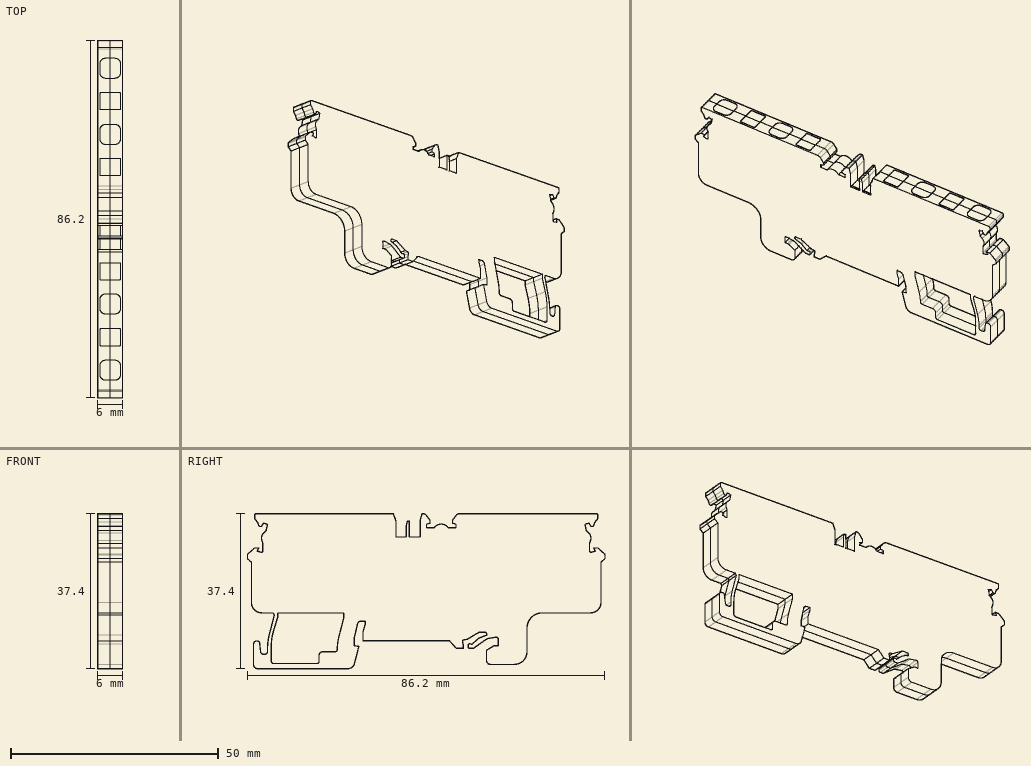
import cadquery as cq
import math

LENGTH = 86.2
HEIGHT = 37.4
THICKNESS = 6.0
HALF_THICKNESS = THICKNESS / 2

SHOULDER_Y = LENGTH / 2
END_WALL_Y = 42.15
PLATE_BOTTOM = 13.45
PLATE_CORNER_RADIUS = 2.6
RAIL_SEAT = 6.7

FOOT_OUTER_Y = 24.3
FOOT_INNER_Y = 14.5
FOOT_BOTTOM = 1.0
FOOT_FILLET = 3.6
RAIL_LIP = 4.9

LATCH_OUTER_Y = -41.6
LATCH_ARM_Y = -37.3
LATCH_FLOOR = 1.3
LATCH_STEP = 4.1

MARKER_FLOOR = 34.05
MARKER_CENTER_Y = 3.6
MARKER_HALF_WIDTH = 3.5
MARKER_LIP_HALF_WIDTH = 2.7
MARKER_MOUTH_HALF_WIDTH = 3.9
MARKER_BUMP_HALF_WIDTH = 1.6
MARKER_BUMP_RADIUS = 2.0
MARKER_BUMP_APEX = MARKER_FLOOR + 2.4
SLOT_FLOOR = 31.8
SLOT_START_Y = -1.5
SLOT_END_Y = -7.2
SLOT_MOUTH_Y = -7.9
SLOT_RIB_START_Y = -4.05
SLOT_RIB_END_Y = -4.8
SLOT_RIB_TOP = 35.6

OPENING_WIDTH = 5.0
OPENING_DEPTH = 0.1
WIRE_OPENING_LENGTH = 4.8
WIRE_OPENING_RADIUS = 1.4
WIRE_OPENING_YS = (20.4, 36.4)
RELEASE_OPENING_LENGTH = 4.1
RELEASE_OPENING_RADIUS = 0.3
RELEASE_OPENING_YS = (12.6, 28.45)


def rounded_outline(corners):
    """Closed YZ outline through (y, z, radius) corners; radius 0 leaves a corner sharp."""
    stretches = []
    for i, (y, z, radius) in enumerate(corners):
        corner = cq.Vector(y, z)
        if radius == 0:
            stretches.append([corner])
            continue
        before = cq.Vector(*corners[i - 1][:2])
        after = cq.Vector(*corners[(i + 1) % len(corners)][:2])
        to_before = (before - corner).normalized()
        to_after = (after - corner).normalized()
        half_angle = to_before.getAngle(to_after) / 2
        setback = radius / math.tan(half_angle)
        bisector = (to_before + to_after).normalized()
        middle = corner + bisector * (radius / math.sin(half_angle) - radius)
        stretches.append([corner + to_before * setback, middle, corner + to_after * setback])

    outline = cq.Workplane("YZ").moveTo(stretches[0][-1].x, stretches[0][-1].y)
    for stretch in stretches[1:] + stretches[:1]:
        outline = outline.lineTo(stretch[0].x, stretch[0].y)
        if len(stretch) == 3:
            outline = outline.threePointArc(stretch[1].toTuple()[:2], stretch[2].toTuple()[:2])
    return outline.close()


def end_profile():
    """Corners of the +Y end, from the top edge down to the plate's bottom corner."""
    return [
        (41.4, HEIGHT, 0.35),
        (41.4, 36.2, 0),
        (40.7, 35.3, 0),
        (40.25, 34.2, 0.4),
        (39.65, 34.3, 0),
        (39.2, 35.1, 0),
        (38.3, 34.8, 0),
        (38.6, 33.3, 0),
        (40.0, 32.0, 1.7),
        (39.4, 30.25, 0),
        (39.4, 28.0, 0.3),
        (40.7, 28.4, 0),
        (40.3, 29.1, 0),
        (41.4, 29.1, 0),
        (SHOULDER_Y, 27.6, 0.4),
        (SHOULDER_Y, 26.55, 0),
        (END_WALL_Y, 25.7, 0),
        (END_WALL_Y, PLATE_BOTTOM, PLATE_CORNER_RADIUS),
    ]


def fixed_foot():
    """Corners of the rigid foot and the thin spring finger beside it."""
    return [
        (FOOT_OUTER_Y, PLATE_BOTTOM, FOOT_FILLET),
        (FOOT_OUTER_Y, FOOT_BOTTOM, 3.1),
        (FOOT_INNER_Y, FOOT_BOTTOM, 1.0),
        (FOOT_INNER_Y, 4.5, 0),
        (16.4, 5.6, 0.7),
        (17.3, 5.6, 0),
        (17.3, 7.7, 0.4),
        (14.65, 7.2, 1.7),
        (11.4, RAIL_LIP, 0),
        (10.1, RAIL_LIP, 0.4),
        (10.1, 6.1, 0.35),
        (11.0, 5.95, 0),
        (12.7, 7.4, 0.9),
        (14.65, 8.2, 0.2),
        (14.4, 8.8, 0.2),
        (12.8, 8.8, 0),
        (9.8, 7.1, 0),
        (8.7, 6.9, 0.35),
        (9.0, 5.7, 0),
        (9.0, RAIL_LIP, 0),
        (7.2, RAIL_LIP, 0),
        (5.6, RAIL_SEAT, 0),
    ]


def sprung_foot():
    """Outer corners of the sprung foot, from the rail seat round to the plate bottom."""
    return [
        (-15.3, RAIL_SEAT, 0),
        (-15.3, 9.0, 0),
        (-14.7, 10.7, 0),
        (-14.7, 11.5, 0),
        (-16.4, 11.5, 0.9),
        (-17.3, 7.4, 0),
        (-17.3, 5.6, 0),
        (-16.2, 5.4, 0),
        (-17.6, 0, 1.7),
        (LATCH_OUTER_Y, 0, 1.0),
        (LATCH_OUTER_Y, RAIL_SEAT, 0.8),
        (-40.2, RAIL_SEAT, 0.6),
        (-39.8, 3.5, 0.6),
        (-38.3, 3.5, 0.6),
        (-38.3, 6.55, 12.9),
        (-36.6, 12.9, 0),
        (-36.9, PLATE_BOTTOM, 0),
    ]


def top_recesses():
    """Corners along the top, from the -Y side: bridge slot with its rib, then marker groove."""
    slot = [
        (SLOT_MOUTH_Y, HEIGHT, 0),
        (SLOT_END_Y, SLOT_RIB_TOP, 0),
        (SLOT_END_Y, SLOT_FLOOR, 0),
        (SLOT_RIB_END_Y, SLOT_FLOOR, 0),
        (SLOT_RIB_END_Y, 34.6, 0),
        (-4.6, SLOT_RIB_TOP, 0),
        (SLOT_RIB_START_Y, SLOT_RIB_TOP, 0),
        (SLOT_RIB_START_Y, SLOT_FLOOR, 0),
        (SLOT_START_Y, SLOT_FLOOR, 0),
        (SLOT_START_Y, 35.9, 0),
        (-1.0, HEIGHT, 0),
    ]
    marker_side = [
        (MARKER_MOUTH_HALF_WIDTH, HEIGHT, 1.0),
        (MARKER_LIP_HALF_WIDTH, 35.8, 0),
        (MARKER_LIP_HALF_WIDTH, 35.1, 0),
        (MARKER_HALF_WIDTH, 34.8, 0),
        (MARKER_HALF_WIDTH, MARKER_FLOOR, 0),
        (MARKER_BUMP_HALF_WIDTH, MARKER_FLOOR, 0),
    ]
    near = [(MARKER_CENTER_Y - y, z, r) for y, z, r in marker_side]
    far = [(MARKER_CENTER_Y + y, z, r) for y, z, r in reversed(marker_side)]
    bump = (MARKER_CENTER_Y, MARKER_BUMP_APEX, MARKER_BUMP_RADIUS)
    return slot + near + [bump] + far


def block_outline():
    """Outer contour of the block; the -Y end mirrors the +Y end."""
    plus_end = end_profile()
    minus_end = [(-y, z, r) for y, z, r in reversed(plus_end)]
    return rounded_outline(top_recesses() + plus_end + fixed_foot() + sprung_foot() + minus_end)


def latch_window():
    """Opening enclosed by the sprung foot, its outer leg and the plate."""
    return rounded_outline([
        (-19.9, PLATE_BOTTOM, 0),
        (-19.9, 12.2, 0),
        (-21.5, 6.2, 11.2),
        (-21.5, LATCH_STEP, 0.5),
        (-25.9, LATCH_STEP, 0.95),
        (-25.9, LATCH_FLOOR, 0.5),
        (LATCH_ARM_Y, LATCH_FLOOR, 0.6),
        (LATCH_ARM_Y, 7.3, 12.9),
        (-35.8, 12.4, 0),
        (-35.8, PLATE_BOTTOM, 0),
    ])


def top_recess(y, floor_z, length, corner_radius):
    """Shallow rectangular recess centred on the middle plane, sunk into a level face."""
    block = cq.Workplane("XY").box(OPENING_WIDTH, length, 2 * OPENING_DEPTH)
    if corner_radius > 0:
        block = block.edges("|Z").fillet(corner_radius)
    return block.translate((0, y, floor_z))


def all_recesses():
    """Wire and release openings in the top edge, plus the two bridge shafts in the slot floor."""
    recesses = []
    for side in (-1, 1):
        for y in WIRE_OPENING_YS:
            recesses.append(top_recess(side * y, HEIGHT, WIRE_OPENING_LENGTH, WIRE_OPENING_RADIUS))
        for y in RELEASE_OPENING_YS:
            recesses.append(top_recess(side * y, HEIGHT, RELEASE_OPENING_LENGTH, RELEASE_OPENING_RADIUS))
    for start, end in ((SLOT_START_Y, SLOT_RIB_START_Y), (SLOT_RIB_END_Y, SLOT_END_Y)):
        recesses.append(top_recess((start + end) / 2, SLOT_FLOOR, start - end, 0))
    return recesses


def housing_half(side):
    """One solid half of the housing on the given side (-1 or +1) of the middle plane."""
    half = block_outline().extrude(side * HALF_THICKNESS)
    half = half.cut(latch_window().extrude(side * HALF_THICKNESS))
    for recess in all_recesses():
        half = half.cut(recess)
    return half


housing_halves = [housing_half(side).val() for side in (-1, 1)]
result = cq.Compound.makeCompound(housing_halves)